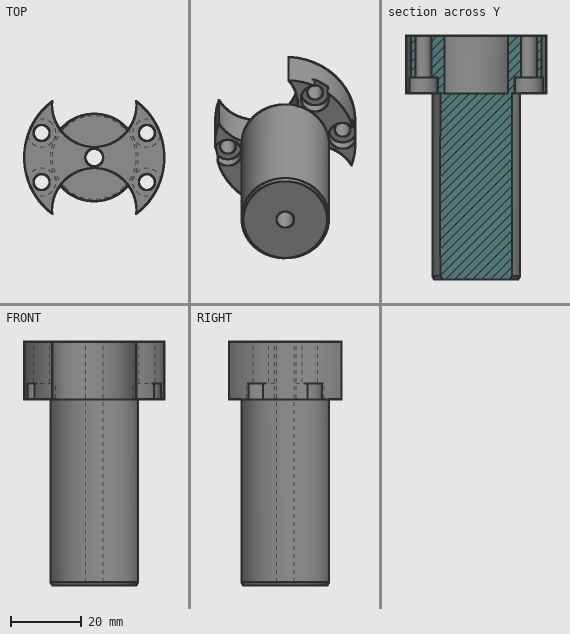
import cadquery as cq
import math

total_height = 69.5

shank_diameter = 25.0
chamfer_height = 1.0
chamfer_angle = 30.0
chamfer_width = chamfer_height * math.tan(math.radians(chamfer_angle))

head_diameter = 40.0
head_height = 16.5
head_bottom = total_height - head_height

cutout_radius = 12.0
web_thickness = 6.0
cutout_offset = web_thickness / 2 + cutout_radius

center_hole_diameter = 5.0
screw_hole_diameter = 4.5
screw_spacing_x = 30.0
screw_spacing_y = 14.0
counterbore_diameter = 8.0
counterbore_depth = 4.5


def make_shank():
    """Shank standing on Z = 0, chamfered around its lower end."""
    radius = shank_diameter / 2
    return (
        cq.Workplane("XZ")
        .moveTo(0, 0)
        .lineTo(radius - chamfer_width, 0)
        .lineTo(radius, chamfer_height)
        .lineTo(radius, head_bottom)
        .lineTo(0, head_bottom)
        .close()
        .revolve(360, (0, 0), (0, 1))
    )


def head_plane():
    """Horizontal workplane at the underside of the head."""
    return cq.Workplane("XY").workplane(offset=head_bottom)


def make_head():
    """Disc with a round cutout on its +Y and -Y sides."""
    disc = head_plane().circle(head_diameter / 2).extrude(head_height)
    cutouts = (
        head_plane()
        .pushPoints([(0, cutout_offset), (0, -cutout_offset)])
        .circle(cutout_radius)
        .extrude(head_height)
    )
    return disc.cut(cutouts)


def make_center_bore():
    """Hole along the axis through the whole part."""
    return cq.Workplane("XY").circle(center_hole_diameter / 2).extrude(total_height)


def make_screw_holes():
    """Four holes through the head; their lower counterbores break out of its rim."""
    holes = (
        head_plane()
        .rarray(screw_spacing_x, screw_spacing_y, 2, 2)
        .circle(screw_hole_diameter / 2)
        .extrude(head_height)
    )
    counterbores = (
        head_plane()
        .rarray(screw_spacing_x, screw_spacing_y, 2, 2)
        .circle(counterbore_diameter / 2)
        .extrude(counterbore_depth)
    )
    return holes.union(counterbores)


body = make_shank().union(make_head())
result = body.cut(make_center_bore()).cut(make_screw_holes())